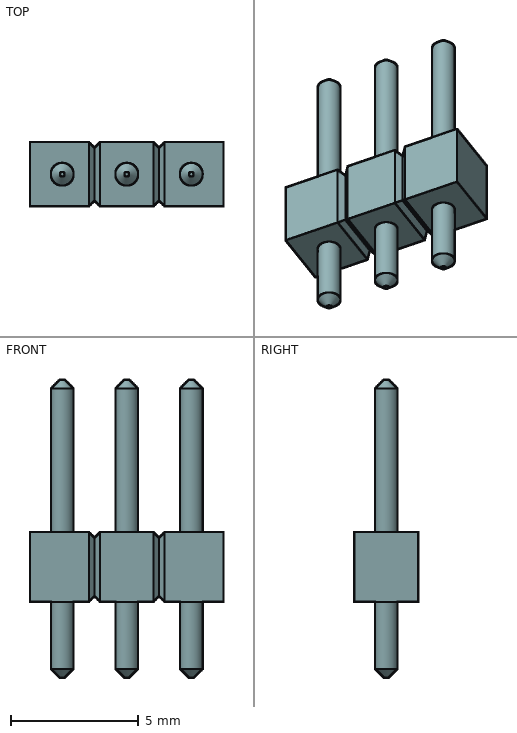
import cadquery as cq

pin_count = 3
total_height = 11.74
total_length = 7.62
pitch = total_length / pin_count

housing_depth = 2.54
housing_height = 2.75
groove_half_width = 0.22
groove_depth = 0.22

pin_diameter = 0.9
pin_radius = pin_diameter / 2
pin_bottom = -2.99
tip_radius = 0.09
tip_height = pin_radius - tip_radius

pin_positions = [(i - (pin_count - 1) / 2) * pitch for i in range(pin_count)]
groove_positions = [x + pitch / 2 for x in pin_positions[:-1]]


def make_groove_prism(plane, x, face, direction, start, length):
    """V-shaped prism cutting into one long face.

    face is the local height of that face, and direction (+1 or -1) its outward side.
    """
    return (
        cq.Workplane(plane)
        .workplane(offset=start)
        .polyline([
            (x - groove_half_width, face),
            (x, face - direction * groove_depth),
            (x + groove_half_width, face),
        ])
        .close()
        .extrude(length)
    )


def make_housing():
    """Block with a V-groove around it between pins and a through hole for each pin."""
    body = cq.Workplane("XY").box(
        total_length, housing_depth, housing_height, centered=(True, True, False)
    )
    half_depth = housing_depth / 2
    for x in groove_positions:
        front = make_groove_prism("XY", x, -half_depth, -1, 0, housing_height)
        back = make_groove_prism("XY", x, half_depth, 1, 0, housing_height)
        bottom = make_groove_prism("XZ", x, 0, -1, -half_depth, housing_depth)
        top = make_groove_prism("XZ", x, housing_height, 1, -half_depth, housing_depth)
        body = body.cut(front).cut(back).cut(bottom).cut(top)

    holes = (
        cq.Workplane("XY")
        .pushPoints([(x, 0) for x in pin_positions])
        .circle(pin_radius)
        .extrude(housing_height)
    )
    return body.cut(holes)


def make_pin(x):
    """Round pin with a blunt conical tip at both ends."""
    return (
        cq.Workplane("XY", origin=(x, 0, pin_bottom))
        .circle(pin_radius)
        .extrude(total_height)
        .faces("<Z or >Z")
        .chamfer(tip_height)
    )


housing = make_housing()
pins = [make_pin(x) for x in pin_positions]

result = cq.Compound.makeCompound([housing.val(), *[pin.val() for pin in pins]])